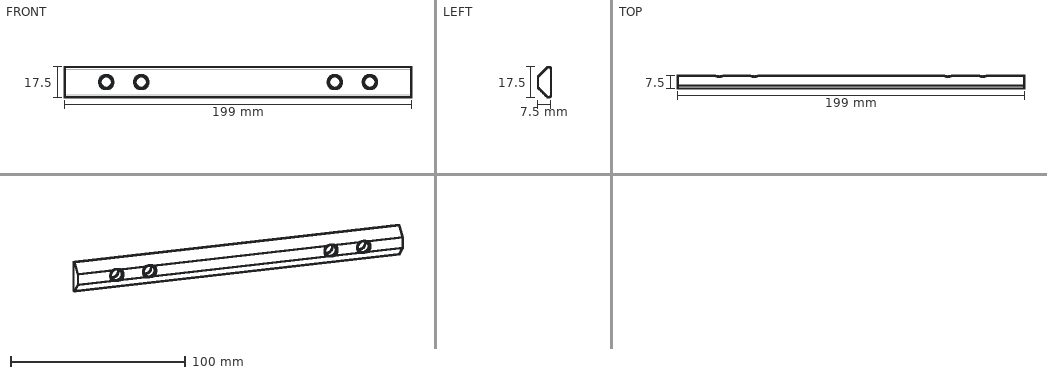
import cadquery as cq

length = 199.0
depth = 7.5
height = 17.5

back_height = 6.4
flank_run = (height - back_height) / 2
edge_land = depth - flank_run
front_edge_radius = 1.4

hole_diameter = 6.5
countersink_diameter = 8.2
countersink_depth = (countersink_diameter - hole_diameter) / 2
outer_hole_offset = 75.6
hole_pitch = 20.0


def make_bar():
    """Dovetail bar along X with its front face on Y = 0."""
    profile = [
        (0, -height / 2),
        (edge_land, -height / 2),
        (depth, -back_height / 2),
        (depth, back_height / 2),
        (edge_land, height / 2),
        (0, height / 2),
    ]
    bar = cq.Workplane("YZ").polyline(profile).close().extrude(length / 2, both=True)
    return bar.faces("<Y").edges("|X").fillet(front_edge_radius)


def make_hole_cutter(x):
    """Through hole along Y, countersunk at 45 degrees from both faces."""
    half_section = [
        (0, 0),
        (countersink_diameter / 2, 0),
        (hole_diameter / 2, countersink_depth),
        (hole_diameter / 2, depth - countersink_depth),
        (countersink_diameter / 2, depth),
        (0, depth),
    ]
    cutter = cq.Workplane("XY").polyline(half_section).close().revolve(360, (0, 0, 0), (0, 1, 0))
    return cutter.translate((x, 0, 0))


result = make_bar()
for side in (-1, 1):
    for offset in (outer_hole_offset, outer_hole_offset - hole_pitch):
        result = result.cut(make_hole_cutter(side * offset))